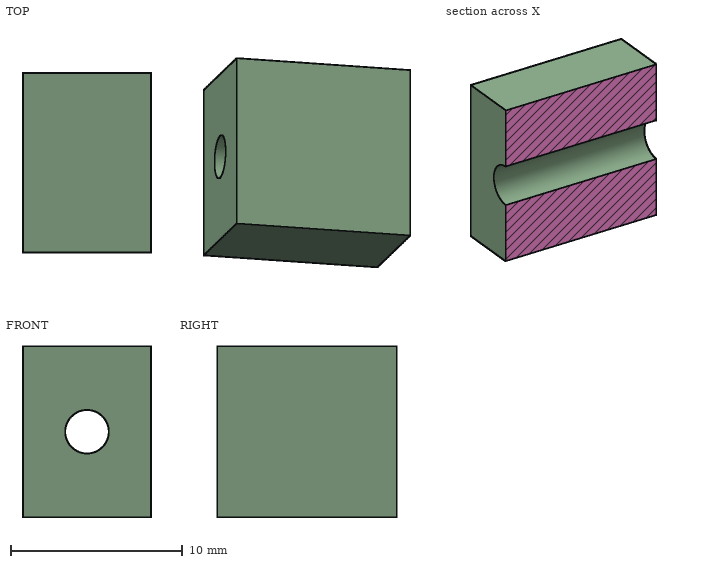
import cadquery as cq

width = 7.5
length = 10.5
height = 10.0

bore_diameter = 2.53

block = cq.Workplane("XY").box(width, length, height)

result = block.faces("<Y").workplane(centerOption="CenterOfBoundBox").hole(bore_diameter)